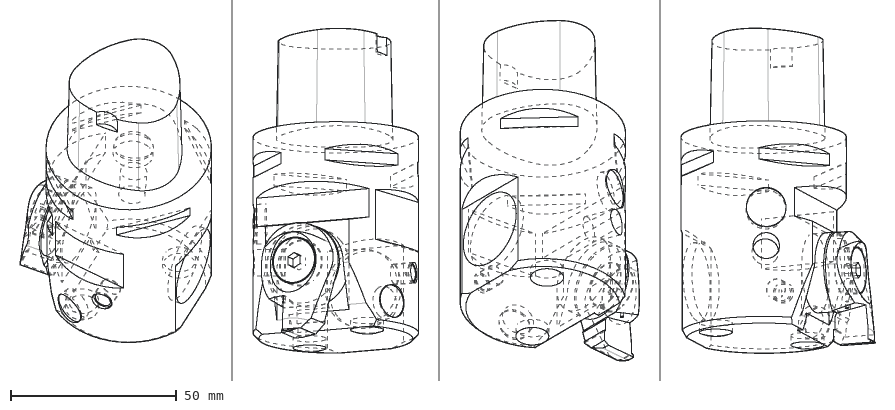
import cadquery as cq
import math

OVERALL_LENGTH = 96.0
BODY_DIAMETER = 50.0
BODY_RADIUS = BODY_DIAMETER / 2
BODY_LENGTH = 61.9
BOTTOM_CHAMFER = 1.7

SHANK_LENGTH = 30.0
LOBE_OFFSET = 7.3
LOBE_RADIUS_BASE = 11.3
LOBE_RADIUS_TOP = 10.8
SIDE_OFFSET = 14.3
KEYWAY_RADIUS = 5.0
KEYWAY_DEPTH = 5.6
KEYWAY_CENTRE_Y = -18.9

GROOVE_FLOOR = 22.1
GROOVE_TOP_Z = -8.3
GROOVE_BOTTOM_Z = -11.7
GROOVE_SLOPE = 28.0
GROOVE_ANGLES = (45, 135, 225, 315)

POCKET_SLOPE = 14.0
FRONT_POCKET_FLOOR = 21.8
FRONT_POCKET_ANGLE = 262.4
FRONT_POCKET_TOP_Z = -20.3
FRONT_POCKET_BOTTOM_Z = -35.5

SIDE_POCKET_FLOOR = 16.7
SIDE_POCKET_ANGLE = 180
SIDE_POCKET_TOP_Z = -20.2
SIDE_POCKET_BOTTOM_Z = -28.9

SEAT_FLAT_X = -20.8
LEAN_BOTTOM_X = -15.6

UNDERCUT_TOP_Z = -55.4
UNDERCUT_BOTTOM_X = -13.7
UNDERCUT_EDGE_Y = 7.9

BACK_FLAT_X = 21.6
BACK_FLAT_TOP_Z = -30.4

TOOL_Z = -43.1
CARTRIDGE_DIAMETER = 24.0
CARTRIDGE_FACE_X = -23.7
CARTRIDGE_FLOOR_X = -16.6

CUTTER_BACK_X = -24.3
CUTTER_RADIUS = 11.9
CUTTER_RIM_X = -28.4
CUTTER_TIP_X = -35.2
CUTTER_FACE_RADIUS = 17.8
CUTTER_FACE_APEX_X = -31.8
CUTTER_FACE_APEX_Z = -34.8
CUTTER_FACE_LEAN = 0.1
ARM_ANGLE = 16.3
ARM_EDGE_Y = 2.0
ARM_CORNER_Y = -6.9
ARM_END_Z = -64.9
HEAD_ARC_RADIUS = 17.5
HEAD_BOTTOM_BACK_Z = -56.3
HEAD_BOTTOM_FRONT_Z = -54.0
ARM_BACK_X = -23.7
ARM_HEEL_X = -23.2
ARM_HEEL_Z = -61.2
ARM_STEP_Z = -56.2
ARM_STEP_END_Z = -57.2
COOLANT_DIAMETER = 1.0
COOLANT_DEPTH = 2.9
COOLANT_X = -28.4
COOLANT_Y = 4.2
LIP_BOTTOM_Z = SHANK_LENGTH - OVERALL_LENGTH
LIP_EDGE_Z = -65.5
LIP_BACK_X = -25.0
LIP_END_Y = -3.6
LIP_CORNER_Y = -0.5
LIP_CORNER_Z = -65.9
NOSE_RADIUS = 19.2
NOSE_X = -34.5

RECESS_DIAMETER = 14.2
RECESS_FLOOR_X = -25.4
RECESS_CONE_X = -30.4

CUTTER_SCREW_DIAMETER = 13.6
CUTTER_SCREW_FACE_X = RECESS_CONE_X
HEX_CORNER_DIAMETER = 4.7
HEX_DEPTH = 3.8

SET_SCREW_DIAMETER = 6.0
SET_SCREW_HOLE_DIAMETER = 6.2
SET_SCREW_X = 2.8
SET_SCREW_FACE_Y = -24.0
SET_SCREW_LENGTH = 5.8
SET_SCREW_CONE_DIAMETER = 5.0
SET_SCREW_CONE_END_DIAMETER = 1.0

PLUG_SEAT_DEPTH = 2.9
PLUG_DIAMETER = 10.0
PLUG_RISE = 1.1
PLUG_SINK = 0.3
BOTTOM_PLUG_CENTRES = ((-8.7, -14.4), (10.5, 13.4))
FRONT_PLUG_ANGLE = 248.5
FRONT_PLUG_Z = -53.8
REAR_PLUG_DIAMETER = 12.0
REAR_PLUG_Z = -26.5
REAR_HOLE_DIAMETER = 8.0
REAR_HOLE_Z = -38.4
REAR_HOLE_DEPTH = 9.6
REAR_ANGLE = 112.0
CAP_DIAMETER = 23.8
CAP_RISE = 1.5

CLEARANCE = 1.0
FAR = 57.6


def polar(radius, degrees):
    angle = math.radians(degrees)
    return radius * math.cos(angle), radius * math.sin(angle)


def radial_plane(angle, distance, z):
    """Plane square to the outward direction at an angle about Z."""
    x, y = polar(distance, angle)
    return cq.Plane(origin=(x, y, z), xDir=(0, 0, 1), normal=(x, y, 0))


def plug_distance(diameter):
    """Distance from the axis to the dome foot of a plug set into the round side."""
    return math.sqrt(BODY_RADIUS**2 - (diameter / 2) ** 2) - PLUG_SINK


def block(x_range, y_range, z_range):
    (x0, x1), (y0, y1), (z0, z1) = x_range, y_range, z_range
    return cq.Workplane("XY").box(x1 - x0, y1 - y0, z1 - z0, centered=False).translate((x0, y0, z0))


def side_prism(points, y_from, y_to):
    """Prism along Y of an outline given as (X, Z) points."""
    prism = cq.Workplane("XZ", origin=(0, y_from, 0)).polyline(points).close()
    return prism.extrude(y_from - y_to)


def x_cylinder(diameter, x_from, x_to):
    return cq.Workplane("YZ", origin=(x_from, 0, TOOL_Z)).circle(diameter / 2).extrude(x_to - x_from)


def x_cone(x_wide, radius_wide, length):
    """45-degree cone on the tool axis, narrowing from x_wide towards +X for a positive length."""
    direction = cq.Vector(math.copysign(1, length), 0, 0)
    end_radius = radius_wide - abs(length)
    cone = cq.Solid.makeCone(radius_wide, end_radius, abs(length), cq.Vector(x_wide, 0, TOOL_Z), direction)
    return cq.Workplane(cone)


def lobed_section(z, lobe_radius):
    """Three lobe arcs joined by three flatter tangent arcs."""
    side_x, side_y = polar(LOBE_OFFSET, 30)
    centre_gap = math.hypot(side_x, side_y + SIDE_OFFSET)
    side_radius = lobe_radius + centre_gap
    half_side = math.degrees(math.atan2(side_x, side_y + SIDE_OFFSET))

    def side_point(side_angle, swing):
        centre_x, centre_y = polar(SIDE_OFFSET, side_angle + 180)
        reach_x, reach_y = polar(side_radius, side_angle + swing)
        return centre_x + reach_x, centre_y + reach_y

    section = cq.Workplane("XY", origin=(0, 0, z)).moveTo(*side_point(270, -half_side))
    for side_angle in (270, 30, 150):
        lobe_tip = polar(LOBE_OFFSET + lobe_radius, side_angle + 60)
        section = section.threePointArc(side_point(side_angle, 0), side_point(side_angle, half_side))
        section = section.threePointArc(lobe_tip, side_point(side_angle + 120, -half_side))
    return section.close().wire().val()


def make_shank():
    base = lobed_section(0, LOBE_RADIUS_BASE)
    top = lobed_section(SHANK_LENGTH, LOBE_RADIUS_TOP)
    shank = cq.Workplane(cq.Solid.makeLoft([base, top], True))
    keyway = cq.Workplane("XY", origin=(0, KEYWAY_CENTRE_Y, SHANK_LENGTH - KEYWAY_DEPTH))
    return shank.cut(keyway.circle(KEYWAY_RADIUS).extrude(KEYWAY_DEPTH))


SET_SCREW_PLANE = cq.Plane(origin=(SET_SCREW_X, SET_SCREW_FACE_Y, TOOL_Z), xDir=(1, 0, 0), normal=(0, -1, 0))


def flat_pocket(angle, floor, z_top, z_bottom, slope):
    """Cutter for a flat across the round side whose end walls flare outwards."""
    depth = BODY_RADIUS - floor + CLEARANCE
    flare = depth * math.tan(math.radians(slope))
    outline = [
        (floor, z_bottom),
        (floor, z_top),
        (floor + depth, z_top + flare),
        (floor + depth, z_bottom - flare),
    ]
    return side_prism(outline, -FAR, FAR).rotate((0, 0, 0), (0, 0, 1), angle)


def lean_x(z):
    """X of the leaning face at a height."""
    share = (TOOL_Z - z) / (TOOL_Z + BODY_LENGTH)
    return SEAT_FLAT_X + share * (LEAN_BOTTOM_X - SEAT_FLAT_X)


def cartridge_side_cut():
    outline = [
        (SEAT_FLAT_X, SIDE_POCKET_BOTTOM_Z),
        (SEAT_FLAT_X, TOOL_Z),
        (LEAN_BOTTOM_X, -BODY_LENGTH),
        (-FAR, -BODY_LENGTH),
        (-FAR, SIDE_POCKET_BOTTOM_Z),
    ]
    return side_prism(outline, -FAR, FAR)


def undercut():
    outline = [
        (lean_x(UNDERCUT_TOP_Z), UNDERCUT_TOP_Z),
        (UNDERCUT_BOTTOM_X, -BODY_LENGTH),
        (-FAR, -BODY_LENGTH),
        (-FAR, UNDERCUT_TOP_Z),
    ]
    return side_prism(outline, -FAR, UNDERCUT_EDGE_Y)


def back_flat_cut():
    outline = [
        (BACK_FLAT_X, -BODY_LENGTH),
        (BACK_FLAT_X, BACK_FLAT_TOP_Z),
        (BACK_FLAT_X + FAR, BACK_FLAT_TOP_Z + FAR),
        (BACK_FLAT_X + FAR, -BODY_LENGTH),
    ]
    return side_prism(outline, -FAR, FAR)


def cartridge_seat():
    """Round seat that runs out downwards as a slot of the same width."""
    half_width = CARTRIDGE_DIAMETER / 2
    slot = block((-FAR, CARTRIDGE_FLOOR_X), (-half_width, half_width), (-BODY_LENGTH, TOOL_Z))
    return x_cylinder(CARTRIDGE_DIAMETER, -FAR, CARTRIDGE_FLOOR_X).union(slot)


def drill(plane, diameter, depth):
    """Hole cutter from a plane inwards, also clearing what stands outside the plane."""
    return cq.Workplane(plane).workplane(offset=-depth).circle(diameter / 2).extrude(depth + BODY_RADIUS)


def make_housing():
    body = cq.Workplane("XY").circle(BODY_RADIUS).extrude(-BODY_LENGTH)
    body = body.faces("<Z").chamfer(BOTTOM_CHAMFER)
    for angle in GROOVE_ANGLES:
        body = body.cut(flat_pocket(angle, GROOVE_FLOOR, GROOVE_TOP_Z, GROOVE_BOTTOM_Z, GROOVE_SLOPE))
    body = body.cut(
        flat_pocket(
            FRONT_POCKET_ANGLE, FRONT_POCKET_FLOOR, FRONT_POCKET_TOP_Z, FRONT_POCKET_BOTTOM_Z, POCKET_SLOPE
        )
    )
    body = body.cut(
        flat_pocket(
            SIDE_POCKET_ANGLE, SIDE_POCKET_FLOOR, SIDE_POCKET_TOP_Z, SIDE_POCKET_BOTTOM_Z, POCKET_SLOPE
        )
    )
    body = body.cut(cartridge_side_cut()).cut(undercut()).cut(back_flat_cut())
    body = body.cut(cartridge_seat())
    for plane, diameter, _ in PLUGS:
        body = body.cut(drill(plane, diameter, PLUG_SEAT_DEPTH))
    rear_hole_plane = radial_plane(REAR_ANGLE, BODY_RADIUS, REAR_HOLE_Z)
    body = body.cut(drill(rear_hole_plane, REAR_HOLE_DIAMETER, REAR_HOLE_DEPTH))
    body = body.cut(drill(SET_SCREW_PLANE, SET_SCREW_HOLE_DIAMETER, SET_SCREW_LENGTH))
    return body.union(make_shank())


def bottom_plane(x, y):
    return cq.Plane(origin=(x, y, -BODY_LENGTH), xDir=(1, 0, 0), normal=(0, 0, -1))


CAP_PLANE = cq.Plane(origin=(BACK_FLAT_X, 0, TOOL_Z), xDir=(0, 1, 0), normal=(1, 0, 0))
FRONT_PLUG_PLANE = radial_plane(FRONT_PLUG_ANGLE, plug_distance(PLUG_DIAMETER), FRONT_PLUG_Z)
REAR_PLUG_PLANE = radial_plane(REAR_ANGLE, plug_distance(REAR_PLUG_DIAMETER), REAR_PLUG_Z)
PLUGS = [(bottom_plane(x, y), PLUG_DIAMETER, PLUG_RISE) for x, y in BOTTOM_PLUG_CENTRES]
PLUGS.append((FRONT_PLUG_PLANE, PLUG_DIAMETER, PLUG_RISE))
PLUGS.append((REAR_PLUG_PLANE, REAR_PLUG_DIAMETER, PLUG_RISE))
PLUGS.append((CAP_PLANE, CAP_DIAMETER, CAP_RISE))


def make_domed_plug(plane, diameter, rise):
    radius = diameter / 2
    dome_radius = (radius**2 + rise**2) / (2 * rise)
    stem = cq.Workplane(plane).workplane(offset=-PLUG_SEAT_DEPTH).circle(radius)
    stem = stem.extrude(PLUG_SEAT_DEPTH + rise)
    ball = cq.Workplane(plane).workplane(offset=rise - dome_radius).sphere(dome_radius)
    return stem.intersect(ball)


def make_cartridge():
    return x_cylinder(CARTRIDGE_DIAMETER, CARTRIDGE_FACE_X, CARTRIDGE_FLOOR_X)


def cutter_outline():
    """Round head with an arm hanging from it, extruded along X."""
    tangent_y, tangent_z = polar(CUTTER_RADIUS, 180 + ARM_ANGLE)
    arm_slope = math.tan(math.radians(ARM_ANGLE))
    corner_z = TOOL_Z + tangent_z - (ARM_CORNER_Y - tangent_y) / arm_slope
    corner_drop = corner_z - ARM_END_Z
    drop = TOOL_Z - HEAD_BOTTOM_BACK_Z
    head_arc_y = CUTTER_RADIUS - HEAD_ARC_RADIUS
    sweep = math.degrees(math.asin(drop / HEAD_ARC_RADIUS))
    mid_y, mid_z = polar(HEAD_ARC_RADIUS, -sweep / 2)
    end_y, end_z = polar(HEAD_ARC_RADIUS, -sweep)
    outline = (
        cq.Workplane("YZ", origin=(CUTTER_TIP_X, 0, 0))
        .moveTo(CUTTER_RADIUS, TOOL_Z)
        .threePointArc((0, TOOL_Z + CUTTER_RADIUS), (tangent_y, TOOL_Z + tangent_z))
        .lineTo(ARM_CORNER_Y, corner_z)
        .lineTo(ARM_CORNER_Y + corner_drop, ARM_END_Z)
        .lineTo(ARM_EDGE_Y, ARM_END_Z)
        .lineTo(ARM_EDGE_Y, HEAD_BOTTOM_BACK_Z)
        .lineTo(head_arc_y + end_y, TOOL_Z + end_z)
        .threePointArc((head_arc_y + mid_y, TOOL_Z + mid_z), (CUTTER_RADIUS, TOOL_Z))
        .close()
    )
    return outline.extrude(ARM_HEEL_X - CUTTER_TIP_X)


def cutter_back_cut():
    outline = [
        (CUTTER_BACK_X, TOOL_Z + CUTTER_RADIUS),
        (CUTTER_BACK_X, ARM_STEP_Z),
        (ARM_BACK_X, ARM_STEP_END_Z),
        (ARM_BACK_X, ARM_HEEL_Z),
        (ARM_HEEL_X, ARM_HEEL_Z),
        (ARM_HEEL_X, TOOL_Z + CUTTER_RADIUS),
    ]
    return side_prism(outline, -FAR, FAR)


def cutter_face():
    """Leaning round column whose outside is the convex front of the cutter."""
    lean = cq.Vector(CUTTER_FACE_LEAN, 0, 1)
    foot_x = CUTTER_FACE_APEX_X + CUTTER_FACE_RADIUS * lean.Length
    foot = cq.Vector(foot_x, 0, CUTTER_FACE_APEX_Z) - lean * FAR
    return cq.Workplane(cq.Solid.makeCylinder(CUTTER_FACE_RADIUS, 2 * FAR * lean.Length, foot, lean))


def nose_column(front_x):
    """Upright round column whose front stands at front_x."""
    column = cq.Workplane("XY", origin=(front_x + NOSE_RADIUS, 0, -2 * FAR))
    return column.circle(NOSE_RADIUS).extrude(2 * FAR)


def head_bevel():
    """What the bevel leaves of the upper half of the head, plus everything below."""
    length = CUTTER_RIM_X - CUTTER_TIP_X
    upper = x_cylinder(2 * CUTTER_RADIUS, CUTTER_RIM_X, ARM_HEEL_X)
    upper = upper.union(x_cone(CUTTER_RIM_X, CUTTER_RADIUS, -length))
    lower = block((-FAR, 0), (-FAR, FAR), (LIP_BOTTOM_Z, TOOL_Z))
    return upper.union(lower)


def head_underside_cut():
    outline = [
        (CUTTER_BACK_X, HEAD_BOTTOM_BACK_Z),
        (CUTTER_TIP_X, HEAD_BOTTOM_FRONT_Z),
        (CUTTER_TIP_X, HEAD_BOTTOM_BACK_Z),
    ]
    return side_prism(outline, ARM_EDGE_Y, FAR)


def screw_recess():
    straight = x_cylinder(RECESS_DIAMETER, RECESS_CONE_X, RECESS_FLOOR_X)
    length = RECESS_CONE_X - CUTTER_TIP_X
    return straight.union(x_cone(CUTTER_TIP_X, RECESS_DIAMETER / 2 + length, length))


def cutting_lip():
    rise = ARM_END_Z - LIP_EDGE_Z
    outline = [
        (CUTTER_TIP_X + rise, ARM_END_Z),
        (CUTTER_TIP_X, LIP_EDGE_Z),
        (CUTTER_TIP_X, LIP_BOTTOM_Z),
        (LIP_BACK_X, LIP_BOTTOM_Z),
        (ARM_HEEL_X, ARM_END_Z),
    ]
    underside = [
        (ARM_EDGE_Y, ARM_END_Z),
        (ARM_EDGE_Y, LIP_BOTTOM_Z),
        (LIP_CORNER_Y, LIP_CORNER_Z),
        (LIP_END_Y, ARM_END_Z),
    ]
    cross_section = cq.Workplane("YZ", origin=(-FAR, 0, 0)).polyline(underside).close().extrude(FAR)
    lip = side_prism(outline, LIP_END_Y, ARM_EDGE_Y)
    return lip.intersect(cross_section).intersect(nose_column(CUTTER_TIP_X))


def make_cutter():
    cutter = cutter_outline().intersect(cutter_face()).intersect(nose_column(NOSE_X)).intersect(head_bevel())
    cutter = cutter.cut(cutter_back_cut()).cut(head_underside_cut()).cut(screw_recess())
    coolant = cq.Workplane("XY", origin=(COOLANT_X, COOLANT_Y, HEAD_BOTTOM_BACK_Z))
    cutter = cutter.cut(coolant.circle(COOLANT_DIAMETER / 2).extrude(COOLANT_DEPTH))
    return cutter.union(cutting_lip())


def make_cutter_screw():
    head = x_cylinder(CUTTER_SCREW_DIAMETER, CUTTER_SCREW_FACE_X, RECESS_FLOOR_X)
    face = cq.Plane(origin=(CUTTER_SCREW_FACE_X, 0, TOOL_Z), xDir=(0, 0, 1), normal=(1, 0, 0))
    return head.cut(cq.Workplane(face).polygon(6, HEX_CORNER_DIAMETER).extrude(HEX_DEPTH))


def make_set_screw():
    screw = cq.Workplane(SET_SCREW_PLANE).circle(SET_SCREW_DIAMETER / 2).extrude(-SET_SCREW_LENGTH)
    wide = SET_SCREW_CONE_DIAMETER / 2
    narrow = SET_SCREW_CONE_END_DIAMETER / 2
    cone = cq.Solid.makeCone(wide, narrow, wide - narrow, SET_SCREW_PLANE.origin, -SET_SCREW_PLANE.zDir)
    return screw.cut(cq.Workplane(cone))


housing = make_housing()
cartridge = make_cartridge()
cutter = make_cutter()
cutter_screw = make_cutter_screw()
set_screw = make_set_screw()
domed_plugs = [make_domed_plug(*plug).val() for plug in PLUGS]

result = cq.Compound.makeCompound(
    [housing.val(), cartridge.val(), cutter.val(), cutter_screw.val(), set_screw.val(), *domed_plugs]
)